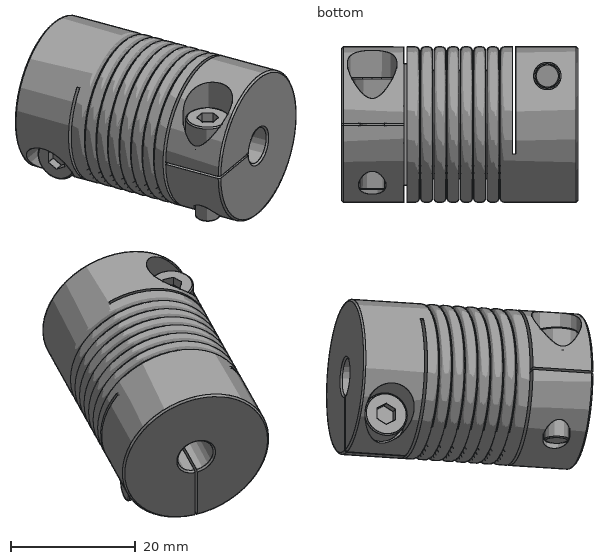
import cadquery as cq
import math

LENGTH = 38.0
OUTER_RADIUS = 12.5
BORE_RADIUS = 3.0
EDGE_CHAMFER = 0.3

GROOVE_COUNT = 7
GROOVE_PITCH = 2.13
GROOVE_WIDTH = 0.2
GROOVE_FLOOR_RADIUS = 8.75
LIP_RADIUS = 0.72

SLOT_WIDTH = 0.5
SLOT_POSITION = 10.25
LEFT_SLOT_REACH = 7.8
RIGHT_SLOT_REACH = 4.7
SLIT_WIDTH = 0.38

SCREW_POSITION = 4.95
SCREW_OFFSET = 7.8
SHANK_RADIUS = 1.98
HOLE_RADIUS = 2.2
SHANK_LENGTH = 14.0
TIP_CHAMFER = 0.2
HEAD_RADIUS = 3.55
HEAD_HEIGHT = 4.0
HEAD_CHAMFER = 0.23
HEAD_SEAT = 3.55
SOCKET_ACROSS_FLATS = 3.05
SOCKET_DEPTH = 1.6
COUNTERBORE_RADIUS = 4.0

LEFT_END = -LENGTH / 2
SCREW_X = LEFT_END + SCREW_POSITION


def place_right(shape):
    """Carry a left-hub shape to the right hub: mirrored end for end, then a quarter turn about X."""
    return shape.mirror("YZ").rotate((0, 0, 0), (1, 0, 0), -90)


def rod_along_screw(radius, start, length):
    """Cylinder on the left screw axis; distances are measured from the slit plane towards the head."""
    plane = cq.Plane(origin=(SCREW_X, -start, -SCREW_OFFSET), xDir=(1, 0, 0), normal=(0, -1, 0))
    return cq.Workplane(plane).circle(radius).extrude(length)


def make_sleeve():
    """Plain cylinder with a chamfered through bore."""
    end_plane = cq.Plane(origin=(LEFT_END, 0, 0), xDir=(0, 0, 1), normal=(1, 0, 0))
    return (
        cq.Workplane(end_plane)
        .circle(OUTER_RADIUS)
        .circle(BORE_RADIUS)
        .extrude(LENGTH)
        .faces("<X or >X")
        .chamfer(EDGE_CHAMFER)
    )


def make_groove(x):
    """Narrow ring groove with a full-round floor and lips rounded into the outer surface."""
    half = GROOVE_WIDTH / 2
    lip_end = OUTER_RADIUS - LIP_RADIUS
    lip_mid_inset = LIP_RADIUS * (1 - math.cos(math.radians(45)))
    lip_mid_out = OUTER_RADIUS - lip_mid_inset
    lip_mid_side = half + lip_mid_inset
    return (
        cq.Workplane("XY", origin=(x, 0, 0))
        .moveTo(-half, GROOVE_FLOOR_RADIUS + half)
        .threePointArc((0, GROOVE_FLOOR_RADIUS), (half, GROOVE_FLOOR_RADIUS + half))
        .lineTo(half, lip_end)
        .threePointArc((lip_mid_side, lip_mid_out), (half + LIP_RADIUS, OUTER_RADIUS))
        .lineTo(-half - LIP_RADIUS, OUTER_RADIUS)
        .threePointArc((-lip_mid_side, lip_mid_out), (-half, lip_end))
        .close()
        .revolve(360, (0, 0, 0), (1, 0, 0))
    )


def make_relief_slot(reach):
    """Slot across the left hub, cut from its underside to `reach` above the axis."""
    return (
        cq.Workplane("XY")
        .box(SLOT_WIDTH, 2 * OUTER_RADIUS, OUTER_RADIUS + reach)
        .translate((LEFT_END + SLOT_POSITION, 0, (reach - OUTER_RADIUS) / 2))
    )


def make_slit():
    """Slit from the bore through the underside of the left hub, ending at the relief slot."""
    return (
        cq.Workplane("XY")
        .box(SLOT_POSITION, SLIT_WIDTH, OUTER_RADIUS)
        .translate((LEFT_END + SLOT_POSITION / 2, 0, -OUTER_RADIUS / 2))
    )


def make_screw_hole():
    """Clearance hole for the shank right through the left hub, with a counterbore for the head."""
    hole = rod_along_screw(HOLE_RADIUS, -OUTER_RADIUS, 2 * OUTER_RADIUS)
    counterbore = rod_along_screw(COUNTERBORE_RADIUS, HEAD_SEAT, OUTER_RADIUS)
    return hole.union(counterbore)


def make_body():
    """Grooved sleeve with a clamping hub at each end, a quarter turn apart."""
    body = make_sleeve()
    first_groove = -GROOVE_PITCH * (GROOVE_COUNT - 1) / 2
    for i in range(GROOVE_COUNT):
        body = body.cut(make_groove(first_groove + i * GROOVE_PITCH))
    for cutter in (make_slit(), make_screw_hole()):
        body = body.cut(cutter).cut(place_right(cutter))
    body = body.cut(make_relief_slot(LEFT_SLOT_REACH))
    return body.cut(place_right(make_relief_slot(RIGHT_SLOT_REACH)))


def make_screw():
    """Socket head cap screw in its place in the left hub."""
    shank = rod_along_screw(SHANK_RADIUS, HEAD_SEAT - SHANK_LENGTH, SHANK_LENGTH)
    shank = shank.faces(">Y").chamfer(TIP_CHAMFER)
    head = rod_along_screw(HEAD_RADIUS, HEAD_SEAT, HEAD_HEIGHT)
    head = head.faces("<Y").chamfer(HEAD_CHAMFER)
    socket_diameter = SOCKET_ACROSS_FLATS / math.cos(math.radians(30))
    socket = (
        cq.Workplane("XZ", origin=(SCREW_X, -HEAD_SEAT - HEAD_HEIGHT, -SCREW_OFFSET))
        .transformed(rotate=(0, 0, 30))
        .polygon(6, socket_diameter)
        .extrude(-SOCKET_DEPTH)
    )
    return shank.union(head).cut(socket)


body = make_body()
left_screw = make_screw()
screws = [left_screw, place_right(left_screw)]
result = cq.Compound.makeCompound([body.val(), *[screw.val() for screw in screws]])